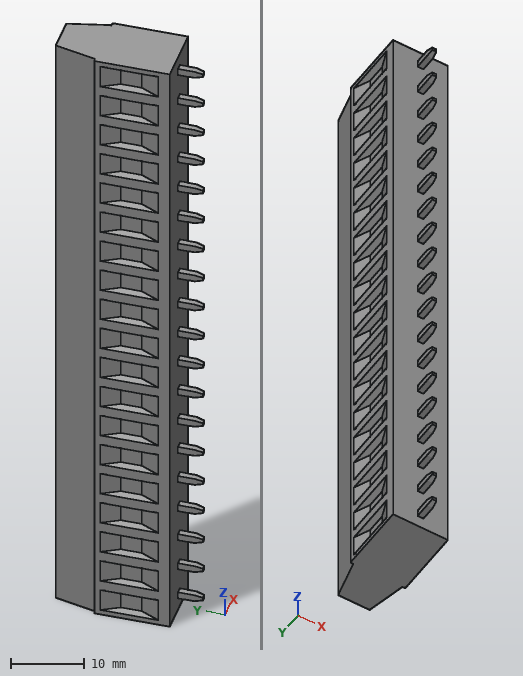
import cadquery as cq
import math

pole_count = 19
row_length = 95.0
pole_pitch = row_length / pole_count
first_pole_height = -(pole_count - 1) / 2 * pole_pitch

housing_width = 8.9
housing_depth = 16.8
block_depth = 10.7
lead_in_length = 0.3
lead_in_inset = 0.02
shoulder_rise = 0.08
neck_root_width = 8.0
neck_end_width = 5.1

overall_depth = 20.3
pin_length = overall_depth - housing_depth
pin_width = 0.95
pin_height = 1.0
pin_tip_length = 1.1
pin_tip_width = 0.7
pin_tip_height = 0.5

opening_front = 1.6
opening_length = 8.3
opening_height = 3.4
opening_depth = 0.95
ramp_angle = 19.8
ramp_length = opening_depth / math.tan(math.radians(ramp_angle))
wall_inset = 0.3

left_side = -housing_width / 2


def make_housing():
    half_width = housing_width / 2
    half_outline = [
        (half_width, 0),
        (half_width, block_depth - lead_in_length),
        (half_width - lead_in_inset, block_depth),
        (neck_root_width / 2, block_depth + shoulder_rise),
        (neck_end_width / 2, housing_depth),
    ]
    mirrored_outline = [(-x, y) for x, y in reversed(half_outline)]
    outline = cq.Workplane("XY").polyline(half_outline + mirrored_outline).close()
    return outline.extrude(row_length / 2, both=True)


def make_opening(height):
    """Ramped recess, trimmed by upper and lower walls that lean inwards with depth."""
    opening_back = opening_front + opening_length
    floor = left_side + opening_depth
    ramped = (
        cq.Workplane("XY", origin=(0, 0, height))
        .moveTo(left_side, opening_front)
        .lineTo(floor, opening_front + ramp_length)
        .lineTo(floor, opening_back - ramp_length)
        .lineTo(left_side, opening_back)
        .close()
        .extrude(opening_height / 2, both=True)
    )
    half_mouth = opening_height / 2
    half_floor = half_mouth - wall_inset
    leaning_walls = (
        cq.Workplane("XZ", origin=(0, opening_front, height))
        .moveTo(left_side, -half_mouth)
        .lineTo(floor, -half_floor)
        .lineTo(floor, half_floor)
        .lineTo(left_side, half_mouth)
        .close()
        .extrude(-opening_length)
    )
    return ramped.intersect(leaning_walls)


def make_pin(height):
    """Rectangular pin pointing to -Y with a tapered tip."""
    shank_length = pin_length - pin_tip_length
    base = cq.Workplane("XZ", origin=(0, 0, height))
    shank = base.rect(pin_width, pin_height).extrude(shank_length)
    tip = (
        base.workplane(offset=shank_length)
        .rect(pin_width, pin_height)
        .workplane(offset=pin_tip_length)
        .rect(pin_tip_width, pin_tip_height)
        .loft()
    )
    return shank.union(tip)


result = make_housing()
for pole in range(pole_count):
    pole_height = first_pole_height + pole * pole_pitch
    result = result.cut(make_opening(pole_height)).union(make_pin(pole_height))